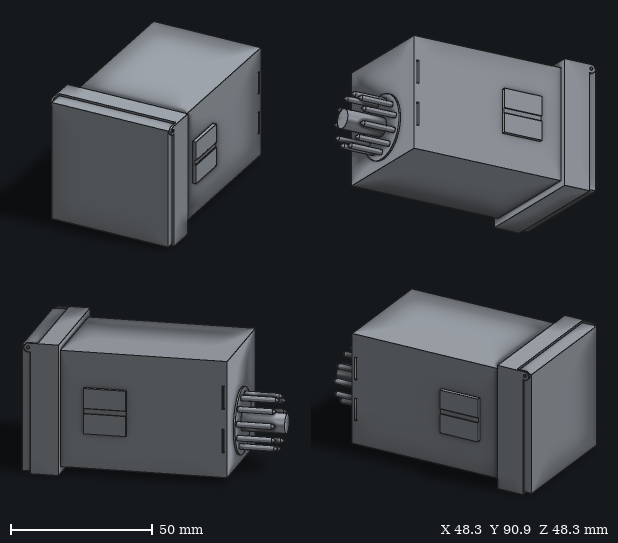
import cadquery as cq
import math


total_length = 90.9
bezel_side = 48.3

body_side = 43.0
body_rear = 74.3
bezel_front = 5.8
bezel_rear = 13.5

rim_thickness = 0.8
rim_front = 3.1
hinge_radius = 1.6
hinge_y = 2.4
pin_mark_radius = 0.55
pin_mark_depth = 0.2

pad_front = 22.2
pad_length = 15.5
pad_height = 16.7
pad_thickness = 1.4
pad_groove_width = 1.9
pad_groove_depth = 0.5

slot_front = 72.4
slot_width = 0.8
slot_length = 8.6
slot_offset_z = 8.0
slot_depth = 1.4

plug_z = -6.5
disc_radius = 12.2
disc_thickness = 0.6
post_radius = 3.6
pin_count = 11
pin_circle_radius = 9.55
pin_radius = 1.0
pin_shoulder = 87.6
pin_tip = 88.9

half_bezel = bezel_side / 2
half_body = body_side / 2
lid_side = bezel_side - 2 * rim_thickness
hinge_z = half_bezel - hinge_radius


def block(x_size, y_start, y_end, z_size, x=0, z=0):
    """Box centred on (x, z) that spans y_start to y_end."""
    return (
        cq.Workplane("XY")
        .box(x_size, y_end - y_start, z_size)
        .translate((x, (y_start + y_end) / 2, z))
    )


def rod(radius, y_start, y_end, x=0, z=0):
    """Cylinder along Y centred on (x, z)."""
    length = y_end - y_start
    return cq.Workplane(
        cq.Solid.makeCylinder(radius, length, cq.Vector(x, y_start, z), cq.Vector(0, 1, 0))
    )


def cross_disc(radius, x_start, thickness):
    """Disc about the hinge axis, starting at x_start and growing toward +X."""
    return cq.Workplane(
        cq.Solid.makeCylinder(
            radius, thickness, cq.Vector(x_start, hinge_y, hinge_z), cq.Vector(1, 0, 0)
        )
    )


def make_bezel():
    """Square bezel with the lid, its side and bottom rim, and the rounded hinge ears at the top."""
    bezel = block(bezel_side, bezel_front, bezel_rear, bezel_side)
    lid = block(lid_side, 0, bezel_front, lid_side)
    bottom_rim = block(
        bezel_side, rim_front, bezel_front, rim_thickness, z=(rim_thickness - bezel_side) / 2
    )
    bezel = bezel.union(lid).union(bottom_rim)
    for side in (-1, 1):
        rim_x = side * (half_bezel - rim_thickness / 2)
        side_rim = block(rim_thickness, rim_front, bezel_front, bezel_side, x=rim_x)
        ear = cross_disc(hinge_radius, rim_x - rim_thickness / 2, rim_thickness)
        ear_root = block(rim_thickness, hinge_y, rim_front, 2 * hinge_radius, x=rim_x, z=hinge_z)
        mark_x = side * (half_bezel - pin_mark_depth / 2)
        pin_mark = cross_disc(pin_mark_radius, mark_x - pin_mark_depth / 2, pin_mark_depth)
        bezel = bezel.union(side_rim).union(ear).union(ear_root).cut(pin_mark)
    return bezel


def make_pad(side):
    """Raised side pad with a shallow groove across its middle."""
    pad_end = pad_front + pad_length
    pad_x = side * (half_body + pad_thickness / 2)
    groove_x = side * (half_body + pad_thickness - pad_groove_depth / 2)
    pad = block(pad_thickness, pad_front, pad_end, pad_height, x=pad_x)
    groove = block(pad_groove_depth, pad_front, pad_end, pad_groove_width, x=groove_x)
    return pad.cut(groove)


def make_body():
    """Square body with pads and rear slots on both sides."""
    body = block(body_side, bezel_rear, body_rear, body_side)
    for side in (-1, 1):
        body = body.union(make_pad(side))
        slot_x = side * (half_body - slot_depth / 2)
        for slot_z in (-slot_offset_z, slot_offset_z):
            slot = block(slot_depth, slot_front, slot_front + slot_width, slot_length, slot_x, slot_z)
            body = body.cut(slot)
    return body


def make_pin(angle):
    """Pointed pin on the pin circle, angle measured from +Z."""
    x = pin_circle_radius * math.sin(angle)
    z = plug_z + pin_circle_radius * math.cos(angle)
    tip = cq.Solid.makeCone(
        pin_radius, 0, pin_tip - pin_shoulder, cq.Vector(x, pin_shoulder, z), cq.Vector(0, 1, 0)
    )
    return rod(pin_radius, body_rear, pin_shoulder, x, z).union(cq.Workplane(tip))


def make_plug():
    """Base disc, central post and evenly spaced pins, one of them straight below the post."""
    plug = rod(disc_radius, body_rear, body_rear + disc_thickness, z=plug_z)
    plug = plug.union(rod(post_radius, body_rear, total_length, z=plug_z))
    for index in range(pin_count):
        plug = plug.union(make_pin(math.pi + 2 * math.pi * index / pin_count))
    return plug


result = make_body().union(make_bezel()).union(make_plug())